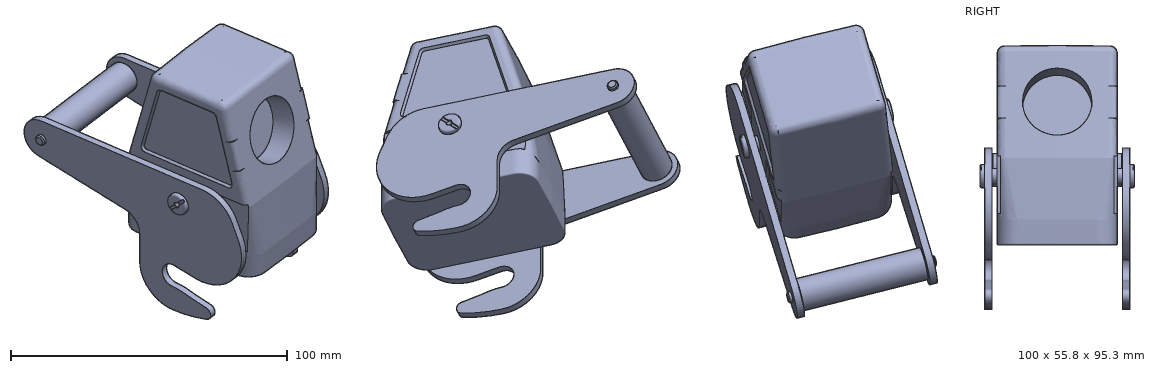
import cadquery as cq
import math


HOOD_WIDTH = 43.4
BASE_LENGTH = 60.0
BASE_BOTTOM_Z = -24.9
BASE_TOP_Z = -15.7
SHOULDER_Z = 6.4
SHOULDER_LENGTH = 55.9
ROOF_Z = 47.2
WALL_SLOPE = 15.0
BASE_CORNER_RADIUS = 7.4
UPPER_CORNER_RADIUS = 3.0
ROOF_EDGE_RADIUS = 2.8
BASE_EDGE_RADIUS = 0.5
END_WALL_BOW = 0.3
ROOF_BOW = 0.2

HALF_WIDTH = HOOD_WIDTH / 2
SLOPE_RATIO = math.tan(math.radians(WALL_SLOPE))
CUT_CLEARANCE = 5.0

ENTRY_DIAMETER = 25.0
ENTRY_DEPTH = 10.0
ENTRY_Z = 26.9
ENTRY_BAND_HEIGHT = 12.0
ENTRY_BAND_DEPTH = 6.0
ENTRY_BAND_CORNER_RADIUS = 1.6

PANEL_BOTTOM_Z = 12.1
PANEL_TOP_Z = 42.2
PANEL_BOTTOM_LENGTH = 42.2
PANEL_CORNER_RADIUS = 1.8
PANEL_DEPTH = 1.0
PANEL_WALL_DRAFT = 35.0
RECESS_DEPTH = 1.2
RECESS_BOTTOM_Z = -13.5
RECESS_TOP_Z = 7.2
PIVOT_PAD_LENGTH = 20.0

STUD_DIAMETER = 5.6
STUD_SHANK_DIAMETER = 5.4
STUD_HEAD_DIAMETER = 8.5
STUD_HEAD_EDGE_RADIUS = 0.8
OVERALL_WIDTH = 55.8
SLOT_WIDTH = 1.1
SLOT_DEPTH = 0.6
SLOT_ANGLE = 45.0
CENTRE_MARK_DIAMETER = 2.2

PLATE_GAP = 47.0
PLATE_THICKNESS = 2.7
PLATE_INNER_Y = PLATE_GAP / 2
PLATE_OUTER_Y = PLATE_INNER_Y + PLATE_THICKNESS
GRIP_X = -62.0
GRIP_Z = 2.2
ARM_END_RADIUS = 8.0
ARM_UNDERSIDE_ANGLE = 10.5
CROOK_RADIUS = 8.0
LOBE_X = 10.2
LOBE_Z = -12.3
LOBE_RADIUS = 18.0
BROW_RADIUS = 15.0
HOOK_X = -2.8
HOOK_Z = -33.1
HOOK_OUTER_RADIUS = 15.0
HOOK_THROAT_RADIUS = 4.8
HOOK_SOLE_RADIUS = 56.0
HOOK_TIP_RADIUS = 2.6
HOOK_TIP_ANGLE = 15.7
HOOK_LIP_END_ANGLE = 15.0
HOOK_LIP_DROP = 1.4
GRIP_DIAMETER = 12.0
GRIP_EDGE_CHAMFER = 0.3
RIVET_DIAMETER = 4.0
RIVET_TIP_DIAMETER = 3.0
RIVET_HEIGHT = 1.5


def half_length_at(z):
    """Half the hood's length on the tapered stretch above the shoulder."""
    return SHOULDER_LENGTH / 2 - (z - SHOULDER_Z) * SLOPE_RATIO


def hood_section(z, half_length, corner_radius):
    """Rounded hexagonal outline of the hood at one height."""
    side = half_length - END_WALL_BOW
    points = [
        (half_length, 0), (side, HALF_WIDTH), (-side, HALF_WIDTH),
        (-half_length, 0), (-side, -HALF_WIDTH), (side, -HALF_WIDTH),
    ]
    face = cq.Face.makeFromWires(cq.Workplane("XY", origin=(0, 0, z)).polyline(points).close().val())
    if corner_radius:
        corners = [v for v in face.Vertices() if abs(v.Y) > HALF_WIDTH / 2]
        face = face.fillet2D(corner_radius, corners)
    return face.outerWire()


def tapered_stretch(corner_radius):
    """The hood from the shoulder to the roof."""
    sections = [hood_section(z, half_length_at(z), corner_radius) for z in (SHOULDER_Z, ROOF_Z)]
    return cq.Workplane(obj=cq.Solid.makeLoft(sections, True))


def make_hood_shell():
    base = cq.Workplane(obj=cq.Solid.makeLoft(
        [hood_section(z, BASE_LENGTH / 2, BASE_CORNER_RADIUS) for z in (BASE_BOTTOM_Z, BASE_TOP_Z)], True))
    base = base.faces("<Z").edges().fillet(BASE_EDGE_RADIUS)
    flare = cq.Workplane(obj=cq.Solid.makeLoft([
        hood_section(BASE_TOP_Z, BASE_LENGTH / 2, BASE_CORNER_RADIUS),
        hood_section(SHOULDER_Z, SHOULDER_LENGTH / 2, UPPER_CORNER_RADIUS),
    ], True))
    gable = (
        cq.Workplane("YZ")
        .polyline([
            (-HALF_WIDTH, SHOULDER_Z), (HALF_WIDTH, SHOULDER_Z), (HALF_WIDTH, ROOF_Z - ROOF_BOW),
            (0, ROOF_Z), (-HALF_WIDTH, ROOF_Z - ROOF_BOW),
        ])
        .close()
        .extrude(BASE_LENGTH / 2, both=True)
    )
    upper = tapered_stretch(UPPER_CORNER_RADIUS).intersect(gable)
    roof_band = cq.selectors.BoxSelector(
        (-BASE_LENGTH, -HOOD_WIDTH, ROOF_Z - 2 * ROOF_BOW), (BASE_LENGTH, HOOD_WIDTH, ROOF_Z + ROOF_BOW))
    ridge = cq.selectors.BoxSelector((-1, -1, ROOF_Z - ROOF_BOW), (1, 1, ROOF_Z + ROOF_BOW))
    upper = upper.edges(roof_band - ridge).fillet(ROOF_EDGE_RADIUS)
    return base.union(flare).union(upper)


def entry_workplane():
    """Plane lying on the +X end wall, centred on the cable entry."""
    slope = math.radians(WALL_SLOPE)
    return cq.Workplane(cq.Plane(
        origin=(half_length_at(ENTRY_Z), 0, ENTRY_Z),
        xDir=(0, 1, 0),
        normal=(math.cos(slope), 0, math.sin(slope)),
    ))


def add_cable_entry(body):
    """Blind bore square to the end wall, in a band whose corners are less rounded."""
    band = (
        entry_workplane()
        .box(2 * HOOD_WIDTH, ENTRY_BAND_HEIGHT, 2 * ENTRY_BAND_DEPTH)
        .intersect(tapered_stretch(ENTRY_BAND_CORNER_RADIUS))
    )
    bore = (
        entry_workplane()
        .workplane(offset=-ENTRY_DEPTH)
        .circle(ENTRY_DIAMETER / 2)
        .extrude(ENTRY_DEPTH + CUT_CLEARANCE)
    )
    return body.union(band).cut(bore)


def panel_cutter():
    """Trapezoidal pocket of the -Y wall, its sides parallel to the end walls."""
    bottom_half = PANEL_BOTTOM_LENGTH / 2
    top_half = bottom_half - (PANEL_TOP_Z - PANEL_BOTTOM_Z) * SLOPE_RATIO
    outline = (
        cq.Sketch()
        .polygon([
            (-bottom_half, PANEL_BOTTOM_Z), (bottom_half, PANEL_BOTTOM_Z),
            (top_half, PANEL_TOP_Z), (-top_half, PANEL_TOP_Z), (-bottom_half, PANEL_BOTTOM_Z),
        ])
        .vertices()
        .fillet(PANEL_CORNER_RADIUS)
    )
    return (
        cq.Workplane("XZ", origin=(0, -HALF_WIDTH, 0))
        .placeSketch(outline)
        .extrude(-PANEL_DEPTH, taper=PANEL_WALL_DRAFT)
    )


def recess_cutter():
    """Shallow recess of the -Y wall behind the lever, leaving a pad at the pivot."""
    height = RECESS_TOP_Z - RECESS_BOTTOM_Z
    middle_z = (RECESS_TOP_Z + RECESS_BOTTOM_Z) / 2
    band = cq.Workplane(origin=(0, -HALF_WIDTH, middle_z)).box(BASE_LENGTH, 2 * RECESS_DEPTH, height)
    pad = cq.Workplane(origin=(0, -HALF_WIDTH, middle_z)).box(PIVOT_PAD_LENGTH, 2 * RECESS_DEPTH, height)
    return band.cut(pad)


def make_stud():
    """Pivot stud of the -Y side: shoulder, shank through the plate and slotted screw head."""
    def disc(diameter, inner_y, outer_y):
        return cq.Workplane("XZ", origin=(0, -inner_y, 0)).circle(diameter / 2).extrude(outer_y - inner_y)

    head_face_y = OVERALL_WIDTH / 2
    shoulder = disc(STUD_DIAMETER, HALF_WIDTH - RECESS_DEPTH, PLATE_INNER_Y)
    shank = disc(STUD_SHANK_DIAMETER, PLATE_INNER_Y, PLATE_OUTER_Y)
    head = disc(STUD_HEAD_DIAMETER, PLATE_OUTER_Y, head_face_y)
    head = head.faces("<Y").edges().fillet(STUD_HEAD_EDGE_RADIUS)
    slot = (
        cq.Workplane(origin=(0, -head_face_y, 0))
        .box(2 * STUD_HEAD_DIAMETER, 2 * SLOT_DEPTH, SLOT_WIDTH)
        .rotate((0, 0, 0), (0, 1, 0), -SLOT_ANGLE)
    )
    mark_radius = CENTRE_MARK_DIAMETER / 2
    slot_floor_y = head_face_y - SLOT_DEPTH
    mark_tip = cq.Workplane(obj=cq.Solid.makeCone(
        mark_radius, 0, mark_radius, cq.Vector(0, -slot_floor_y, 0), cq.Vector(0, 1, 0)))
    centre_mark = disc(CENTRE_MARK_DIAMETER, slot_floor_y, head_face_y).union(mark_tip)
    return shoulder.union(shank).union(head.cut(slot).cut(centre_mark))


def make_hood():
    body = add_cable_entry(make_hood_shell())
    for cutter in (panel_cutter(), recess_cutter()):
        body = body.cut(cutter).cut(cutter.mirror("XZ"))
    stud = make_stud()
    return body.union(stud).union(stud.mirror("XZ"))


def polar(centre, radius, degrees):
    """Point on a circle in the XZ plane, measured from +X toward +Z."""
    angle = math.radians(degrees)
    return (centre[0] + radius * math.cos(angle), centre[1] + radius * math.sin(angle))


def make_plate():
    """Lever plate of the -Y side: a tapered arm, a round lobe and a hook below it."""
    grip = (GRIP_X, GRIP_Z)
    lobe = (LOBE_X, LOBE_Z)
    hook = (HOOK_X, HOOK_Z)
    arm_top_z = GRIP_Z + ARM_END_RADIUS
    brow = (LOBE_X, arm_top_z - BROW_RADIUS)

    brow_angle = math.degrees(math.asin((LOBE_RADIUS - BROW_RADIUS) / (brow[1] - LOBE_Z)))

    rise = math.atan2(LOBE_Z - HOOK_Z, LOBE_X - HOOK_X)
    centre_distance = math.dist(hook, lobe)
    crossing = math.degrees(rise - math.asin((LOBE_RADIUS + HOOK_THROAT_RADIUS) / centre_distance))
    throat_angle = crossing + 90
    lobe_end_angle = crossing - 90

    back_x = HOOK_X - HOOK_OUTER_RADIUS
    underside_angle = -90 - ARM_UNDERSIDE_ANGLE
    underside_start = polar(grip, ARM_END_RADIUS, underside_angle)
    underside_slope = math.tan(math.radians(ARM_UNDERSIDE_ANGLE))
    corner_z = underside_start[1] - (back_x - underside_start[0]) * underside_slope
    crook_tangent = CROOK_RADIUS * math.tan(math.radians((90 - ARM_UNDERSIDE_ANGLE) / 2))
    crook = (back_x - CROOK_RADIUS, corner_z - crook_tangent)

    sole = (HOOK_X, HOOK_Z - HOOK_OUTER_RADIUS + HOOK_SOLE_RADIUS)
    sole_end_angle = HOOK_TIP_ANGLE - 90
    tip = polar(sole, HOOK_SOLE_RADIUS - HOOK_TIP_RADIUS, sole_end_angle)
    tip_top = polar(tip, HOOK_TIP_RADIUS, 90 - HOOK_LIP_END_ANGLE)
    lip_end_direction = polar((0, 0), 1, -HOOK_LIP_END_ANGLE)
    throat_bottom = polar(hook, HOOK_THROAT_RADIUS, -90)
    lip_middle = ((tip_top[0] + throat_bottom[0]) / 2, throat_bottom[1] - HOOK_LIP_DROP)

    return (
        cq.Workplane("XZ", origin=(0, -PLATE_INNER_Y, 0))
        .moveTo(GRIP_X, arm_top_z)
        .lineTo(*polar(brow, BROW_RADIUS, 90))
        .threePointArc(polar(brow, BROW_RADIUS, (90 + brow_angle) / 2), polar(brow, BROW_RADIUS, brow_angle))
        .lineTo(*polar(lobe, LOBE_RADIUS, brow_angle))
        .threePointArc(polar(lobe, LOBE_RADIUS, -45), polar(lobe, LOBE_RADIUS, lobe_end_angle))
        .lineTo(*polar(hook, HOOK_THROAT_RADIUS, throat_angle))
        .threePointArc(polar(hook, HOOK_THROAT_RADIUS, 180), throat_bottom)
        .spline([lip_middle, tip_top], tangents=[(1, 0), lip_end_direction], includeCurrent=True)
        .threePointArc(polar(tip, HOOK_TIP_RADIUS, 0), polar(tip, HOOK_TIP_RADIUS, sole_end_angle))
        .threePointArc(polar(sole, HOOK_SOLE_RADIUS, sole_end_angle - HOOK_TIP_ANGLE / 2),
                       polar(sole, HOOK_SOLE_RADIUS, -90))
        .threePointArc(polar(hook, HOOK_OUTER_RADIUS, -135), polar(hook, HOOK_OUTER_RADIUS, 180))
        .lineTo(back_x, crook[1])
        .threePointArc(polar(crook, CROOK_RADIUS, 45 - ARM_UNDERSIDE_ANGLE / 2),
                       polar(crook, CROOK_RADIUS, 90 - ARM_UNDERSIDE_ANGLE))
        .lineTo(*underside_start)
        .threePointArc(polar(grip, ARM_END_RADIUS, 180), (GRIP_X, arm_top_z))
        .close()
        .extrude(PLATE_THICKNESS)
        .cut(cq.Workplane("XZ").circle(STUD_SHANK_DIAMETER / 2).extrude(PLATE_OUTER_Y))
    )


def make_rivet():
    """Chamfered rivet end standing on the outer face of the -Y plate."""
    tip_chamfer = (RIVET_DIAMETER - RIVET_TIP_DIAMETER) / 2
    return (
        cq.Workplane("XZ", origin=(GRIP_X, -PLATE_OUTER_Y, GRIP_Z))
        .circle(RIVET_DIAMETER / 2)
        .extrude(RIVET_HEIGHT)
        .faces("<Y")
        .chamfer(tip_chamfer)
    )


def make_lever():
    grip = (
        cq.Workplane("XZ", origin=(GRIP_X, 0, GRIP_Z))
        .circle(GRIP_DIAMETER / 2)
        .extrude(PLATE_INNER_Y, both=True)
        .edges("%CIRCLE")
        .chamfer(GRIP_EDGE_CHAMFER)
    )
    side = make_plate().union(make_rivet())
    return grip.union(side).union(side.mirror("XZ"))


hood = make_hood()
lever = make_lever()

result = cq.Compound.makeCompound([hood.val(), lever.val()])